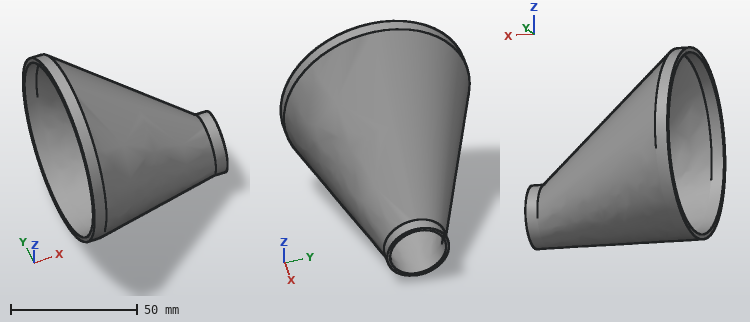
import cadquery as cq

large_outer_diameter = 76.3
large_inner_diameter = 72.3
small_outer_diameter = 25.4
small_inner_diameter = 23.0
total_length = 67.0
collar_length = 5.0

cone_length = total_length - 2 * collar_length
small_collar_start = collar_length + cone_length
small_end_drop = (large_outer_diameter - small_outer_diameter) / 2


def reducer_body(large_diameter, small_diameter):
    """Solid along +X: large collar, oblique cone, then the offset small collar."""
    large_collar = cq.Workplane("YZ").circle(large_diameter / 2).extrude(collar_length)
    cone = (
        cq.Workplane("YZ", origin=(collar_length, 0, 0))
        .circle(large_diameter / 2)
        .workplane(offset=cone_length)
        .center(0, -small_end_drop)
        .circle(small_diameter / 2)
        .loft(ruled=True)
    )
    small_collar = (
        cq.Workplane("YZ", origin=(small_collar_start, 0, -small_end_drop))
        .circle(small_diameter / 2)
        .extrude(collar_length)
    )
    return large_collar.union(cone).union(small_collar)


outer_body = reducer_body(large_outer_diameter, small_outer_diameter)
passage = reducer_body(large_inner_diameter, small_inner_diameter)
result = outer_body.cut(passage)